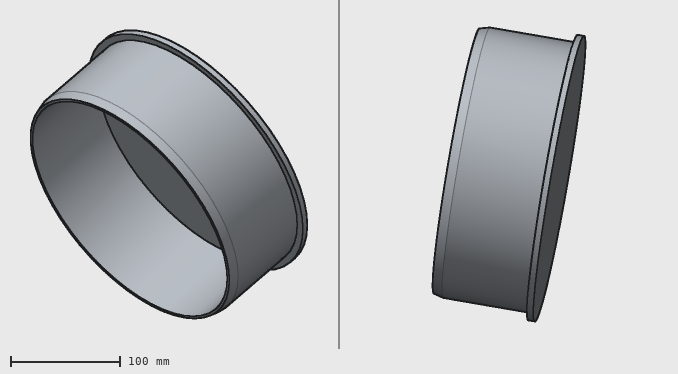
import cadquery as cq

length = 95.0
flange_diameter = 264.0
flange_thickness = 6.0
wall_diameter = 250.0
bore_diameter = 240.0
floor_thickness = 6.0
taper_length = 9.0
taper_depth = 2.5

flange_radius = flange_diameter / 2
wall_radius = wall_diameter / 2
bore_radius = bore_diameter / 2
open_end = -length / 2
closed_end = length / 2
flange_face = closed_end - flange_thickness
floor_face = closed_end - floor_thickness

half_section = (
    cq.Workplane("XY")
    .moveTo(0, closed_end)
    .lineTo(flange_radius, closed_end)
    .lineTo(flange_radius, flange_face)
    .lineTo(wall_radius, flange_face)
    .lineTo(wall_radius, open_end + taper_length)
    .lineTo(wall_radius - taper_depth, open_end)
    .lineTo(bore_radius, open_end)
    .lineTo(bore_radius, floor_face)
    .lineTo(0, floor_face)
    .close()
)

result = half_section.revolve(360, (0, 0, 0), (0, 1, 0))